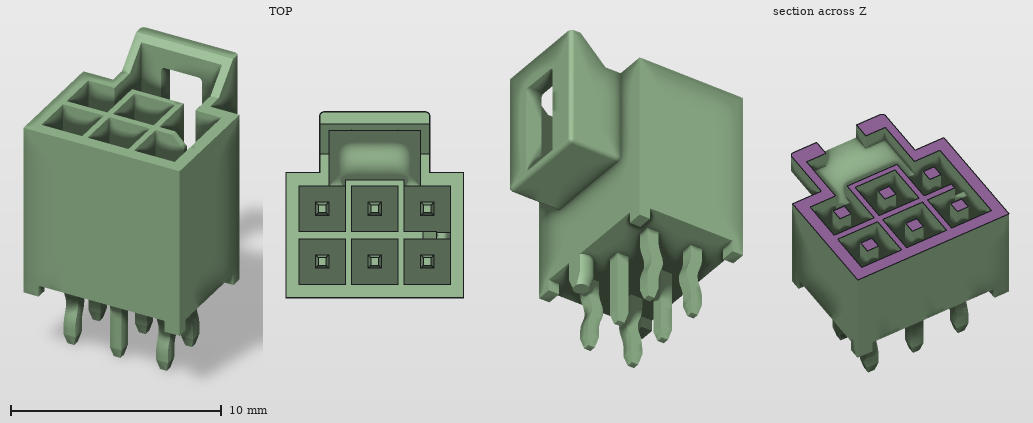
import cadquery as cq
import math


body_width = 8.44
body_depth = 5.96
body_height = 8.5
foot_width = 0.82
foot_depth = 0.6
foot_height = 0.6

columns = 3
rows = 2
pitch = 2.5
cell_width = 2.2
cell_depth = 2.16
cell_floor = 1.5
cell_wall = pitch - cell_width

latch_width = 5.24
latch_reach = 2.88
latch_rise = 1.43
latch_drop = 5.0
latch_edge_radius = 0.22
latch_rim = 0.58
latch_side_wall = 0.44
latch_back_wall = 0.88
latch_floor = 0.3
window_width = 2.2
window_rise = 0.07
window_corner_radius = 0.2

key_shelf_length = 0.68
key_opening = 1.32
key_chamfer = 0.64
key_shelf_narrowing = 0.05

pin_size = 0.64
pin_tip_size = 0.36
pin_tip_length = 0.54
pin_above_floor = 4.5
pin_below_body = 3.78
kink_offset = 0.25
kink_drop = 0.54
kink_flank = 0.72
kink_crest = 0.84

peg_x = 1.24
peg_radius = 0.6
peg_tip_radius = 0.4
peg_shank_length = 0.97
peg_length = 1.61
peg_axis_inset = 0.38

back = body_depth / 2
latch_back = back + latch_reach
latch_bottom = body_height - latch_drop
latch_top = body_height + latch_rise
pocket_floor = latch_bottom + latch_floor
pocket_back = latch_back - latch_back_wall
column_places = [(i - (columns - 1) / 2) * pitch for i in range(columns)]
row_places = [(i - (rows - 1) / 2) * pitch for i in range(rows)]
cavity_right = column_places[-1] + cell_width / 2
cavity_back = row_places[-1] + cell_depth / 2


def box(x0, x1, y0, y1, z0, z1):
    """Axis-aligned block between two opposite corners."""
    return cq.Workplane("XY").box(x1 - x0, y1 - y0, z1 - z0, centered=False).translate((x0, y0, z0))


def make_housing():
    """Rectangular block standing on four corner feet."""
    half_width = body_width / 2
    housing = box(-half_width, half_width, -back, back, 0, body_height)
    foot_x = half_width - foot_width / 2
    foot_y = back - foot_depth / 2
    feet = (
        cq.Workplane("XY")
        .pushPoints([(sx * foot_x, sy * foot_y) for sx in (-1, 1) for sy in (-1, 1)])
        .rect(foot_width, foot_depth)
        .extrude(-foot_height)
    )
    return housing.union(feet)


def make_latch():
    """Solid bracket block with a 45 degree slope from its rim down to the housing top."""
    slope_start = latch_back - latch_rim
    latch = (
        cq.Workplane("YZ")
        .moveTo(0, latch_bottom)
        .lineTo(latch_back, latch_bottom)
        .lineTo(latch_back, latch_top)
        .lineTo(slope_start, latch_top)
        .lineTo(slope_start - latch_rise, body_height)
        .lineTo(0, body_height)
        .close()
        .extrude(latch_width / 2, both=True)
    )
    return latch.edges("(>Y and |Z) or (<Z and |Y) or (<Z and >Y)").fillet(latch_edge_radius)


def make_latch_pocket():
    """Space behind the latch, leaving a wall around the middle cell, plus the latch window."""
    half_width = latch_width / 2 - latch_side_wall
    pocket = box(-half_width, half_width, cavity_back, pocket_back, pocket_floor, latch_top)
    island_half = cell_width / 2 + cell_wall
    island_back = cavity_back + cell_wall
    island = box(-island_half, island_half, 0, island_back, 0, body_height)
    window_half = window_width / 2
    window = box(-window_half, window_half, pocket_back, latch_back,
                 pocket_floor, body_height + window_rise)
    window = window.edges("|Y and >Z").fillet(window_corner_radius)
    return pocket.cut(island).union(window)


def make_cells():
    """One square well for each contact."""
    return (
        cq.Workplane("XY", origin=(0, 0, cell_floor))
        .pushPoints([(x, y) for x in column_places for y in row_places])
        .rect(cell_width, cell_depth)
        .extrude(body_height - cell_floor)
    )


def make_key_notch():
    """Opening in the last stretch of the rib, leaving a low shelf and a chamfered rib end."""
    rib = pitch - cell_depth
    rib_end = cavity_right - key_shelf_length
    chamfer_start = cavity_right - key_opening
    return (
        cq.Workplane("XZ", origin=(0, rib / 2, 0))
        .moveTo(chamfer_start, body_height)
        .lineTo(cavity_right, body_height)
        .lineTo(cavity_right, pocket_floor)
        .lineTo(rib_end, pocket_floor)
        .lineTo(rib_end, body_height - key_chamfer)
        .close()
        .extrude(rib)
        .union(box(rib_end, cavity_right, rib / 2 - key_shelf_narrowing, rib / 2,
                   cell_floor, body_height))
    )


def make_tip(x, y, z, length):
    """Tapered pin end that starts at height z; a negative length points down."""
    return (
        cq.Workplane("XY", origin=(x, y, z))
        .rect(pin_size, pin_size)
        .workplane(offset=length)
        .rect(pin_tip_size, pin_tip_size)
        .loft(combine=True)
    )


def kink_points(y):
    """Points along one kinked edge from top to bottom: ends, flank arcs' middles, crest."""
    half_length = kink_flank + kink_crest / 2
    angle = 2 * math.atan(kink_offset / half_length)
    flank_radius = kink_flank / math.sin(angle)
    crest_radius = kink_crest / 2 / math.sin(angle)
    flank_mid_z = flank_radius * math.sin(angle / 2)
    flank_mid_y = flank_radius * (1 - math.cos(angle / 2))
    inflection_y = kink_offset - crest_radius * (1 - math.cos(angle))
    upper_half = [(0, 0), (flank_mid_y, flank_mid_z), (inflection_y, kink_flank)]
    lower_half = [(dy, 2 * half_length - dz) for dy, dz in reversed(upper_half)]
    offsets = upper_half + [(kink_offset, half_length)] + lower_half
    return [(y + dy, -kink_drop - dz) for dy, dz in offsets]


def add_kinked_edge(sketch, points):
    """Continue an outline from the first point along three tangent arcs."""
    for i in range(1, len(points), 2):
        sketch = sketch.threePointArc(points[i], points[i + 1])
    return sketch


def make_pin(x, y, kinked):
    """Square contact with two tapered ends; a kinked leg bends towards the housing centre."""
    half = pin_size / 2
    top = cell_floor + pin_above_floor - pin_tip_length
    bottom = -pin_below_body + pin_tip_length
    if kinked:
        outline = cq.Workplane("YZ", origin=(x - half, 0, 0)).moveTo(-half, top)
        outline = outline.lineTo(*kink_points(-half)[0])
        outline = add_kinked_edge(outline, kink_points(-half))
        outline = outline.lineTo(-half, bottom).lineTo(half, bottom)
        rising_edge = kink_points(half)[::-1]
        outline = outline.lineTo(*rising_edge[0])
        outline = add_kinked_edge(outline, rising_edge)
        shank = outline.lineTo(half, top).close().extrude(pin_size)
        if y > 0:
            shank = shank.mirror("XZ")
        shank = shank.translate((0, y, 0))
    else:
        shank = box(x - half, x + half, y - half, y + half, bottom, top)
    return shank.union(make_tip(x, y, top, pin_tip_length)).union(make_tip(x, y, bottom, -pin_tip_length))


def make_peg():
    """Round locating peg with a conical end, cut flush with the back of the housing."""
    peg_y = back - peg_axis_inset
    peg = (
        cq.Workplane("XZ")
        .moveTo(0, 0)
        .lineTo(peg_radius, 0)
        .lineTo(peg_radius, -peg_shank_length)
        .lineTo(peg_tip_radius, -peg_length)
        .lineTo(0, -peg_length)
        .close()
        .revolve(360, (0, 0, 0), (0, 1, 0))
        .translate((peg_x, peg_y, 0))
    )
    beyond_back = box(peg_x - peg_radius, peg_x + peg_radius, back, back + peg_radius, -peg_length, 0)
    return peg.cut(beyond_back)


result = make_housing().union(make_latch())
result = result.cut(make_cells()).cut(make_latch_pocket()).cut(make_key_notch())
result = result.union(make_peg())
for pin_x in column_places:
    for pin_y in row_places:
        result = result.union(make_pin(pin_x, pin_y, kinked=pin_x != 0))